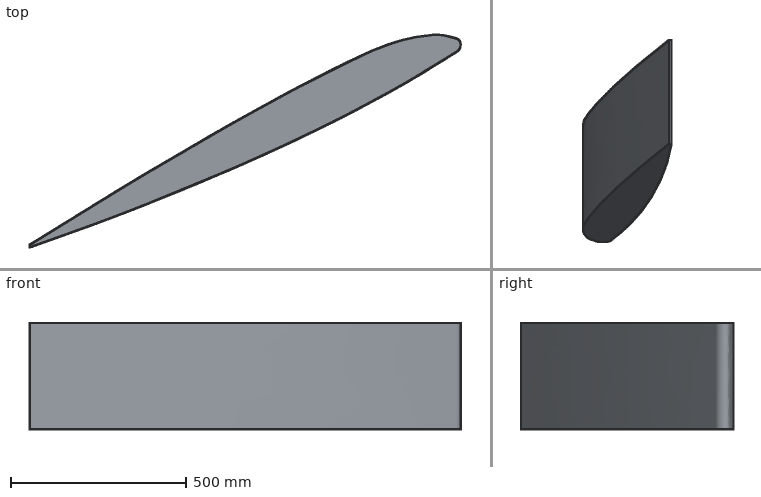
import cadquery as cq
import math

LENGTH_X = 1230.51
WIDTH_Y = 607.96
NOSE_HEIGHT = 304.11

END_FACE_DROP = 0.4

TRAILING_EDGE_THICKNESS = 8.0
LOWER_TAIL = (0.0, 0.0)
UPPER_TAIL = (0.0, TRAILING_EDGE_THICKNESS)
LOWER_SURFACE = [(300.0, 110.0), (600.0, 234.0), (900.0, 375.5)]
NOSE_CORNER = (1219.0, 558.5)
NOSE_TIP = (LENGTH_X, 579.0)
NOSE_SHOULDER = (1208.0, 600.0)
CREST = (1155.0, WIDTH_Y)
UPPER_SURFACE = [(1050.0, 588.5), (900.0, 526.0), (600.0, 367.0), (300.0, 192.5)]

ALONG_CREST = (-1, 0)
UP_NOSE_TIP = (0, 1)


def make_section():
    """Closed aerofoil outline with a blunt trailing edge and a rounded nose."""
    return (
        cq.Workplane("XY")
        .moveTo(*LOWER_TAIL)
        .spline([*LOWER_SURFACE, NOSE_CORNER], includeCurrent=True)
        .tangentArcPoint(NOSE_TIP, relative=False)
        .spline([NOSE_SHOULDER, CREST], tangents=[UP_NOSE_TIP, ALONG_CREST], includeCurrent=True)
        .spline([*UPPER_SURFACE, UPPER_TAIL], includeCurrent=True)
        .close()
    )


def make_end_cutter():
    """Block whose sloping underside trims the end face, rising along the chord."""
    chord = math.hypot(*NOSE_TIP)
    chord_angle = math.degrees(math.atan2(NOSE_TIP[1], NOSE_TIP[0]))
    slope = END_FACE_DROP / chord

    overrun = WIDTH_Y
    start = -overrun
    end = chord + overrun
    block_top = 2 * NOSE_HEIGHT
    profile = [
        (start, NOSE_HEIGHT + slope * (start - chord)),
        (end, NOSE_HEIGHT + slope * (end - chord)),
        (end, block_top),
        (start, block_top),
    ]
    cutter = cq.Workplane("XZ").polyline(profile).close().extrude(overrun, both=True)
    return cutter.rotate((0, 0, 0), (0, 0, 1), chord_angle)


blade = make_section().extrude(NOSE_HEIGHT + END_FACE_DROP)
result = blade.cut(make_end_cutter())